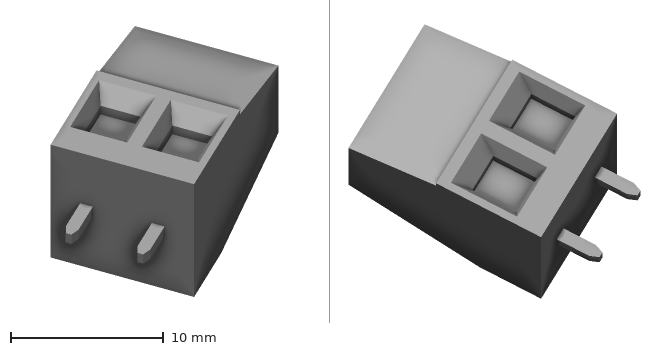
import cadquery as cq

pitch = 5.08
terminal_count = 2
housing_width = pitch * terminal_count
housing_height = 9.91
housing_length = 14.46
raised_length = 7.88
step_drop = 0.38
back_top_drop = 1.55
base_length = 4.62
back_base_rise = 2.45

entry_width = 4.04
entry_front = 2.1
entry_back = 7.06
throat_width = 2.8
throat_front = 2.52
throat_back = 5.81
funnel_depth = 1.0
throat_depth = 0.76

pin_length = 3.07
pin_width = 0.9
pin_thickness = 0.81
pin_tip_width = 0.4
pin_tip_length = 0.64
pin_center_height = 5.08

terminal_positions = [(i - (terminal_count - 1) / 2) * pitch for i in range(terminal_count)]


def make_housing():
    """Side outline in the YZ plane, extruded across the full width."""
    side_outline = [
        (0, 0),
        (base_length, 0),
        (housing_length, back_base_rise),
        (housing_length, housing_height - back_top_drop),
        (raised_length, housing_height - step_drop),
        (raised_length, housing_height),
        (0, housing_height),
    ]
    return cq.Workplane("YZ").polyline(side_outline).close().extrude(housing_width / 2, both=True)


def rectangle_at(x_center, width, front, back, height):
    """Horizontal rectangle reaching from front to back along Y."""
    return (
        cq.Workplane("XY", origin=(x_center, (front + back) / 2, height))
        .rect(width, back - front)
    )


def make_wire_entry(x_center):
    """Cutting shape: funnel with unequal wall slopes plus the pocket below it."""
    throat_top = housing_height - funnel_depth
    mouth = rectangle_at(x_center, entry_width, entry_front, entry_back, housing_height)
    throat = rectangle_at(x_center, throat_width, throat_front, throat_back, throat_top)
    funnel = cq.Workplane(cq.Solid.makeLoft([throat.val(), mouth.val()], ruled=True))
    pocket = throat.extrude(-throat_depth)
    return funnel.union(pocket)


def make_pin(x_center):
    """Blade outlined in the XY plane, tapering to a blunt tip."""
    shoulder_y = pin_tip_length - pin_length
    blade_outline = [
        (-pin_width / 2, 0),
        (-pin_width / 2, shoulder_y),
        (-pin_tip_width / 2, -pin_length),
        (pin_tip_width / 2, -pin_length),
        (pin_width / 2, shoulder_y),
        (pin_width / 2, 0),
    ]
    return (
        cq.Workplane("XY", origin=(x_center, 0, pin_center_height))
        .polyline(blade_outline)
        .close()
        .extrude(pin_thickness / 2, both=True)
    )


result = make_housing()
for x_position in terminal_positions:
    result = result.cut(make_wire_entry(x_position))
    result = result.union(make_pin(x_position))